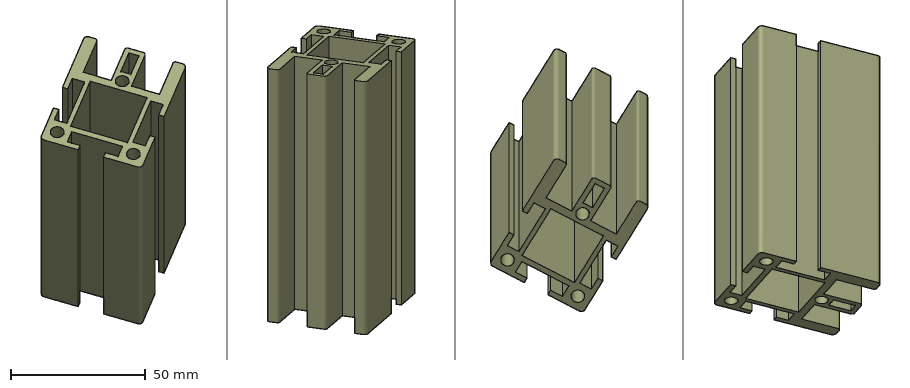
import cadquery as cq

width = 40.0
depth = 50.0
length = 100.0
front_y = -depth / 2
back_y = depth / 2
outer_radius = 1.6

leg_thickness = 5.0
rib_width = 8.0
channel_depth = 16.0
tip_radius = 1.0

rib_hollow_width = 4.0
rib_hollow_length = 9.0
rib_hollow_wall = 2.0

slot_depth = 7.0
slot_inner_width = 20.0
slot_opening = 10.0
lip_thickness = 2.1
side_slot_y = front_y + width / 2

core_width = 22.4
core_depth = 21.8
core_front_y = front_y + 9.2

screw_diameter = 5.0
screw_inset = 5.0
rib_screw_y = back_y - 15.0


def prism(x_size, y_size, x, y):
    """Full-length rectangular bar centred at (x, y)."""
    return cq.Workplane("XY").center(x, y).rect(x_size, y_size).extrude(length)


def t_slot(angle):
    """T-slot cutter for the front face, turned about the slot centre."""
    cavity_depth = slot_depth - lip_thickness
    face_y = side_slot_y - width / 2
    opening = prism(slot_opening, slot_depth, 0, face_y + slot_depth / 2)
    cavity = prism(slot_inner_width, cavity_depth, 0, face_y + lip_thickness + cavity_depth / 2)
    axis_start = (0, side_slot_y, 0)
    axis_end = (0, side_slot_y, 1)
    return opening.union(cavity).rotate(axis_start, axis_end, angle)


body = prism(width, depth, 0, 0).edges("|Z").fillet(outer_radius)

channel_width = (width - rib_width) / 2 - leg_thickness
channel_x = (rib_width + channel_width) / 2
for side in (-1, 1):
    body = body.cut(prism(channel_width, channel_depth, side * channel_x, back_y - channel_depth / 2))

mouth_xs = (rib_width / 2, rib_width / 2 + channel_width)
for side in (-1, 1):
    for mouth_x in mouth_xs:
        mouth_edge = cq.selectors.NearestToPointSelector((side * mouth_x, back_y, length / 2))
        body = body.edges(mouth_edge).fillet(tip_radius)

for angle in (0, 90, -90):
    body = body.cut(t_slot(angle))

body = body.cut(prism(core_width, core_depth, 0, core_front_y + core_depth / 2))
rib_hollow_y = back_y - rib_hollow_wall - rib_hollow_length / 2
body = body.cut(prism(rib_hollow_width, rib_hollow_length, 0, rib_hollow_y))

screw_x = width / 2 - screw_inset
screw_y = front_y + screw_inset
screw_points = [(-screw_x, screw_y), (screw_x, screw_y), (0, rib_screw_y)]
screws = cq.Workplane("XY").pushPoints(screw_points).circle(screw_diameter / 2).extrude(length)
result = body.cut(screws)